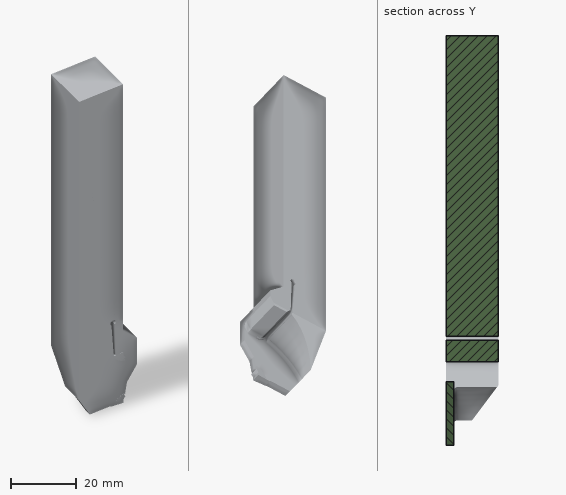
import cadquery as cq

SHANK = 15.9
TOP_Z = 125.0

JAW_REACH = 5.0
JAW_Y = SHANK + JAW_REACH
JAW_TOP_Z = 23.4
JAW_BOTTOM_Z = 12.9
JAW_NOSE_Y = 17.4
JAW_NOSE_Z = 7.6

HEEL_Z = 7.9
TOE_Y = 3.9
BLADE_BOTTOM_Z = 0.6

BLADE_X = 13.5
RECESS_FILLET = 1.0
RECESS_END_Z = 7.9
RECESS_ROOF_Z = 18.0
RECESS_ARC_START_Y = 12.5
RECESS_ARC_MID = (6.2, 14.8)
RECESS_CORNER_Y = 19.2
RECESS_JAW_EDGE_Z = 20.8
RECESS_MARGIN = 3.8

BEVEL_TOP_Z = 18.5
BEVEL_DEPTH = 8.0

SLIT_HOLE_Y = 12.2
SLIT_HOLE_Z = 32.9
SLIT_HOLE_RADIUS = 1.0
SLIT_TOP_Y = (11.6, 12.9)
SLIT_BOTTOM_Y = (12.8, 13.2)
SLIT_BOTTOM_Z = 16.5
SLIT_FLARE_Y = 15.2
SLIT_FLARE_TOP_Z = 19.2
SLIT_FLARE_END_Z = 17.2

INSERT_LENGTH = 20.0
INSERT_MID_Z = INSERT_LENGTH / 2
INSERT_SEAT_Y = 11.4
INSERT_BACK_Y = 17.4
INSERT_BACK_END_Z = 8.0
END_RELIEF = 0.4
TIP_Y = 15.9
TIP_LAND = 1.2
RIDGE_Y = 16.6
RIDGE_Z = 2.4
GROOVE_Y = 15.9
GROOVE_Z = 3.0
NECK_Z = 3.5

HEAD_LEFT_X = 13.1
HEAD_RIGHT_X = 16.0
HEAD_CURVE_MID = (14.0, 2.5)
HEAD_FOOT_Y = 12.6


def end_z(y):
    """Height of the insert's sloping end face at depth y."""
    return END_RELIEF * (TIP_Y - y) / (TIP_Y - INSERT_SEAT_Y)


def make_head_blank():
    """Shank and head as one bar of full width, cut to the side outline."""
    outline = [
        (0, TOP_Z),
        (0, HEEL_Z),
        (TOE_Y, BLADE_BOTTOM_Z),
        (INSERT_SEAT_Y, BLADE_BOTTOM_Z),
        (INSERT_SEAT_Y, JAW_NOSE_Z),
        (JAW_NOSE_Y, JAW_NOSE_Z),
        (JAW_Y, JAW_BOTTOM_Z),
        (JAW_Y, JAW_TOP_Z),
        (SHANK, JAW_TOP_Z + JAW_REACH),
        (SHANK, TOP_Z),
    ]
    return cq.Workplane("YZ").polyline(outline).close().extrude(SHANK)


def make_bevel():
    """Wedge removed from the -X side of the head."""
    wedge = [(0, BEVEL_TOP_Z), (BEVEL_DEPTH, RECESS_END_Z), (0, RECESS_END_Z)]
    return cq.Workplane("XZ").polyline(wedge).close().extrude(-JAW_Y)


def make_recess():
    """Side recess that thins the head to the blade, rounded where it meets the blade."""
    jaw_slope = (RECESS_JAW_EDGE_Z - RECESS_ROOF_Z) / (JAW_Y - RECESS_CORNER_Y)
    outer_y = JAW_Y + RECESS_MARGIN
    return (
        cq.Workplane("YZ")
        .moveTo(outer_y, RECESS_JAW_EDGE_Z + jaw_slope * RECESS_MARGIN)
        .lineTo(RECESS_CORNER_Y, RECESS_ROOF_Z)
        .lineTo(RECESS_ARC_START_Y, RECESS_ROOF_Z)
        .threePointArc(RECESS_ARC_MID, (0, RECESS_END_Z))
        .lineTo(-RECESS_MARGIN, RECESS_END_Z - RECESS_MARGIN)
        .lineTo(-RECESS_MARGIN, -RECESS_MARGIN)
        .lineTo(outer_y, -RECESS_MARGIN)
        .close()
        .extrude(BLADE_X)
        .faces(">X")
        .edges()
        .fillet(RECESS_FILLET)
    )


def make_slit():
    """Tapered slit through the full width, flared at the insert, with a round hole at its upper end."""
    outline = [
        (SLIT_TOP_Y[0], SLIT_HOLE_Z),
        (SLIT_TOP_Y[1], SLIT_HOLE_Z),
        (SLIT_BOTTOM_Y[1], SLIT_FLARE_TOP_Z),
        (SLIT_FLARE_Y, SLIT_FLARE_END_Z),
        (SLIT_FLARE_Y, SLIT_BOTTOM_Z),
        (SLIT_BOTTOM_Y[0], SLIT_BOTTOM_Z),
    ]
    hole = cq.Workplane("YZ").center(SLIT_HOLE_Y, SLIT_HOLE_Z).circle(SLIT_HOLE_RADIUS).extrude(SHANK)
    return cq.Workplane("YZ").polyline(outline).close().extrude(SHANK).union(hole)


def make_half_body():
    """Lower half of the insert's flat body."""
    outline = [
        (INSERT_SEAT_Y, INSERT_MID_Z),
        (INSERT_SEAT_Y, end_z(INSERT_SEAT_Y)),
        (TIP_Y, 0),
        (TIP_Y, TIP_LAND),
        (RIDGE_Y, RIDGE_Z),
        (GROOVE_Y, GROOVE_Z),
        (RIDGE_Y, NECK_Z),
        (INSERT_BACK_Y, INSERT_BACK_END_Z),
        (INSERT_BACK_Y, INSERT_MID_Z),
    ]
    return cq.Workplane("YZ", origin=(BLADE_X, 0, 0)).polyline(outline).close().extrude(SHANK - BLADE_X)


def make_cutting_head():
    """Wider cutting head at the insert's lower end, with relieved sides."""
    profile = (
        cq.Workplane("YZ", origin=(HEAD_LEFT_X, 0, 0))
        .moveTo(TIP_Y, 0)
        .lineTo(TIP_Y, TIP_LAND)
        .lineTo(RIDGE_Y, RIDGE_Z)
        .lineTo(GROOVE_Y, GROOVE_Z)
        .lineTo(RIDGE_Y, NECK_Z)
        .threePointArc(HEAD_CURVE_MID, (HEAD_FOOT_Y, end_z(HEAD_FOOT_Y)))
        .close()
        .extrude(HEAD_RIGHT_X - HEAD_LEFT_X)
    )
    relief = [
        (HEAD_LEFT_X, RIDGE_Y),
        (HEAD_RIGHT_X, RIDGE_Y),
        (SHANK, HEAD_FOOT_Y),
        (BLADE_X, HEAD_FOOT_Y),
    ]
    return profile.intersect(cq.Workplane("XY").polyline(relief).close().extrude(NECK_Z))


def make_insert():
    """Double-ended cutting insert: one half and its mirror image."""
    half = make_half_body().union(make_cutting_head())
    other_half = half.mirror("XY", (0, 0, INSERT_MID_Z))
    return half.union(other_half, clean=True)


def make_holder(insert):
    """Tool holder with a pocket that matches the insert."""
    return make_head_blank().cut(make_bevel()).cut(make_recess()).cut(make_slit()).cut(insert)


insert = make_insert()
holder = make_holder(insert)

result = cq.Compound.makeCompound([holder.val(), insert.val()])